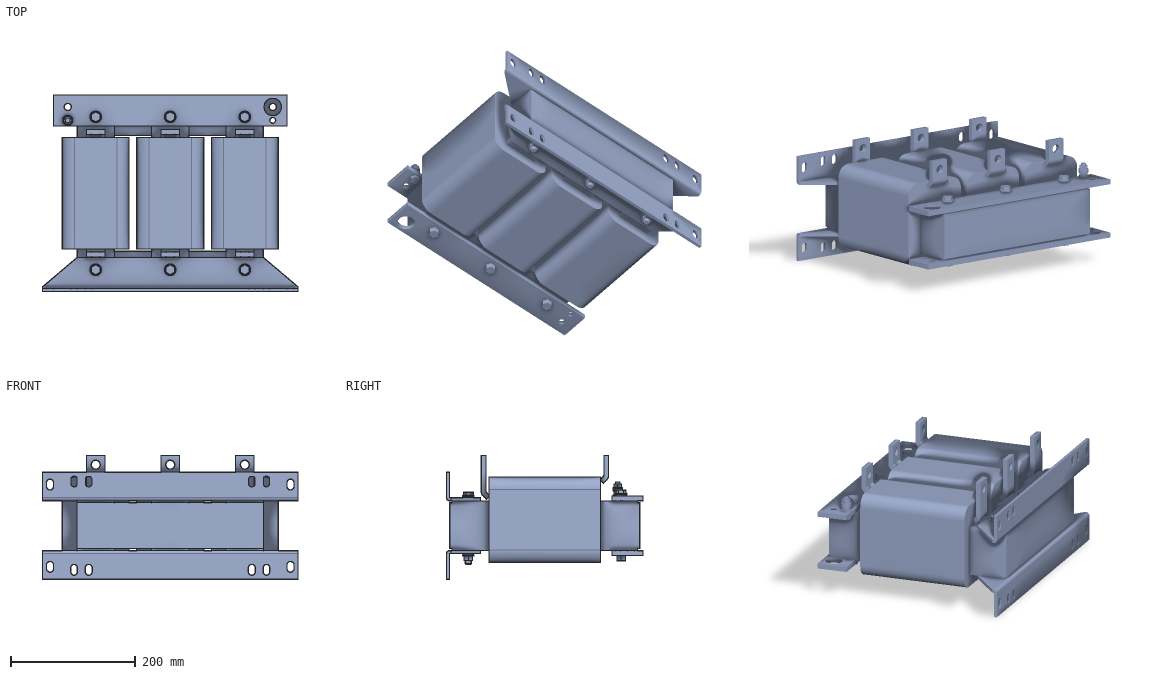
import cadquery as cq
import math


overall_depth = 316.5

phase_pitch = 120.0
phase_positions = [-phase_pitch, 0.0, phase_pitch]
leg_width = 60.0
core_length = 2 * phase_pitch + leg_width
core_depth = 306.0
core_height = 74.0
yoke_width = 60.0
window_depth = core_depth - 2 * yoke_width
window_width = phase_pitch - leg_width

strip_depth = 299.0
clamped_height = 80.0
clamp_z = clamped_height / 2

coil_width = 108.0
coil_depth = 180.0
coil_top = 78.5
coil_bottom = -59.5
coil_corner_radius = 20.0

tag_width = 30.0
tag_thickness = 8.0
tag_top = 113.25
tag_hole_diameter = 14.0
tag_hole_below_top = 15.0
tag_bend_radius = 10.0
tag_bend_angle = math.radians(45)
tag_slope_drop = 5.7
rear_tag_outer_face = 103.0
rear_tag_bend_z = 81.0
front_tag_outer_face = 102.5
front_tag_bend_z = 55.3

bracket_length = 412.0
bracket_thickness = 5.0
bracket_height = 46.25
bracket_front = -overall_depth / 2
flange_width = 55.0
flange_straight_depth = 7.5
slot_length = 17.0
end_slot_x = 193.5
end_slot_z = 66.2
end_slot_width = 11.0
inner_slot_z = 71.0
inner_slots = [(131.3, 11.0), (154.8, 10.0)]

plate_length = 376.0
plate_width = 50.0
plate_thickness = 8.0
plate_rear = overall_depth / 2
plate_hole_x = 165.0
lifting_hole_y = 139.0
lifting_hole_diameter = 11.0
large_hole_diameter = 28.0
earth_y = 117.5
earth_hole_diameter = 9.0
plate_top = clamp_z + plate_thickness

bolt_y = 123.0
bolt_diameter = 10.0
bolt_tip_length = 6.0
bolt_tip_chamfer = 1.0
hex_corners = 16.2
bolt_head_height = 5.6
bolt_nut_height = 7.5
lock_washer_diameter = 16.4
lock_washer_thickness = 2.2
washer_diameter = 18.6
washer_thickness = 1.4
rear_nut_height = 8.8

stud_diameter = 8.0
stud_top = 70.7
stud_head_height = 5.0
stud_head_corners = 16.0
stud_nut_corners = 14.0
stud_nut_height = 5.7
stud_washer_diameter = 16.0
stud_washer_thickness = 1.8
stud_spring_diameter = 15.6
stud_spring_thickness = 2.4


def block(x_size, y_size, z_low, z_high, x=0.0, y=0.0):
    """Box centred on (x, y) and reaching from z_low to z_high."""
    middle = (x, y, (z_low + z_high) / 2)
    return cq.Workplane("XY").box(x_size, y_size, z_high - z_low).translate(middle)


def disc(x, y, z, diameter, height):
    """Upright cylinder standing on z; a negative height hangs it below z."""
    return cq.Workplane("XY", origin=(x, y, z)).circle(diameter / 2).extrude(height)


def hexagon(x, y, z, corners, height):
    """Upright hexagonal prism standing on z; a negative height hangs it below z."""
    return cq.Workplane("XY", origin=(x, y, z)).polygon(6, corners).extrude(height)


def turned_hexagon(x, y, z, corners, height):
    """Hexagonal prism with two corners on the Y direction instead of X."""
    return hexagon(x, y, z, corners, height).rotate((x, y, 0), (x, y, 1), 30)


def make_core():
    core = block(core_length, core_depth, -core_height / 2, core_height / 2)
    for side in (-1, 1):
        window_x = side * phase_pitch / 2
        core = core.cut(block(window_width, window_depth, -core_height, core_height, window_x))
    for x in phase_positions:
        core = core.union(block(leg_width, strip_depth, -clamp_z, clamp_z, x))
    return core


def make_coil(x):
    coil = block(coil_width, coil_depth, coil_bottom, coil_top, x)
    return coil.edges("|Y").fillet(coil_corner_radius)


def make_tag(x, outer_face, bend_z, side):
    """Upright tag with a 45 degree foot running into the coil; side is +1 rear, -1 front."""
    inner_radius = tag_bend_radius - tag_thickness
    bend_centre_y = outer_face - tag_bend_radius

    def on_bend(radius, angle):
        return (bend_centre_y + radius * math.cos(angle), bend_z - radius * math.sin(angle))

    outer_mid = on_bend(tag_bend_radius, tag_bend_angle / 2)
    outer_end = on_bend(tag_bend_radius, tag_bend_angle)
    inner_mid = on_bend(inner_radius, tag_bend_angle / 2)
    inner_end = on_bend(inner_radius, tag_bend_angle)
    foot_outer = (outer_end[0] - tag_slope_drop, outer_end[1] - tag_slope_drop)
    foot_inner = (inner_end[0] - tag_slope_drop, inner_end[1] - tag_slope_drop)
    tag = (
        cq.Workplane("YZ")
        .moveTo(outer_face, tag_top)
        .lineTo(outer_face, bend_z)
        .threePointArc(outer_mid, outer_end)
        .lineTo(*foot_outer)
        .lineTo(*foot_inner)
        .lineTo(*inner_end)
        .threePointArc(inner_mid, (outer_face - tag_thickness, bend_z))
        .lineTo(outer_face - tag_thickness, tag_top)
        .close()
        .extrude(tag_width / 2, both=True)
    )
    hole = (
        cq.Workplane("XZ", origin=(0, 2 * outer_face, tag_top - tag_hole_below_top))
        .circle(tag_hole_diameter / 2)
        .extrude(2 * outer_face)
    )
    tag = tag.cut(hole)
    if side < 0:
        tag = tag.mirror("XZ")
    return tag.translate((x, 0, 0))


def make_bracket():
    """Upper front angle: a flange on the core and a leg standing up from its front edge."""
    flange_rear = bracket_front + flange_width
    flange_corner = bracket_front + flange_straight_depth
    half_rear = core_length / 2
    half_front = bracket_length / 2
    flange = (
        cq.Workplane("XY", origin=(0, 0, clamp_z))
        .polyline([
            (-half_rear, flange_rear),
            (half_rear, flange_rear),
            (half_front, flange_corner),
            (half_front, bracket_front),
            (-half_front, bracket_front),
            (-half_front, flange_corner),
        ])
        .close()
        .extrude(bracket_thickness)
    )
    leg_y = bracket_front + bracket_thickness / 2
    leg = block(bracket_length, bracket_thickness, clamp_z, clamp_z + bracket_height, 0, leg_y)
    bracket = flange.union(leg).edges("|X and <Y and <Z").fillet(bracket_thickness)
    for side in (-1, 1):
        bracket = bracket.cut(make_slot(side * end_slot_x, end_slot_z, end_slot_width))
        for slot_x, slot_width in inner_slots:
            bracket = bracket.cut(make_slot(side * slot_x, inner_slot_z, slot_width))
    return bracket


def make_slot(x, z, width):
    return (
        cq.Workplane("XZ", origin=(x, bracket_front + 2 * bracket_thickness, z))
        .slot2D(slot_length, width, 90)
        .extrude(4 * bracket_thickness)
    )


def make_clamp_plate(large_hole_side):
    """Upper rear plate with its large hole on the given side and an earth hole on the right."""
    plate_y = plate_rear - plate_width / 2
    plate = block(plate_length, plate_width, clamp_z, plate_top, 0, plate_y)
    for side in (-1, 1):
        diameter = large_hole_diameter if side == large_hole_side else lifting_hole_diameter
        plate = plate.cut(disc(side * plate_hole_x, lifting_hole_y, clamp_z, diameter, plate_thickness))
    return plate.cut(disc(plate_hole_x, earth_y, clamp_z, earth_hole_diameter, plate_thickness))


def make_washers(x, y, seat, direction):
    """Lock washer and flat washer stacked outward from the seat."""
    lock = disc(x, y, seat, lock_washer_diameter, direction * lock_washer_thickness)
    flat_seat = seat + direction * lock_washer_thickness
    return lock.union(disc(x, y, flat_seat, washer_diameter, direction * washer_thickness))


def make_front_bolt(x):
    seat = clamp_z + bracket_thickness
    hex_seat = seat + lock_washer_thickness + washer_thickness
    tip = hex_seat + bolt_nut_height + bolt_tip_length
    shank = disc(x, -bolt_y, -tip, bolt_diameter, tip + hex_seat)
    bolt = shank.faces("<Z").chamfer(bolt_tip_chamfer)
    bolt = bolt.union(make_washers(x, -bolt_y, seat, 1))
    bolt = bolt.union(make_washers(x, -bolt_y, -seat, -1))
    bolt = bolt.union(turned_hexagon(x, -bolt_y, hex_seat, hex_corners, bolt_head_height))
    return bolt.union(hexagon(x, -bolt_y, -hex_seat, hex_corners, -bolt_nut_height))


def make_rear_bolt(x):
    hex_seat = plate_top + lock_washer_thickness + washer_thickness
    bolt = disc(x, bolt_y, -plate_top, bolt_diameter, plate_top + hex_seat)
    bolt = bolt.union(make_washers(x, bolt_y, plate_top, 1))
    bolt = bolt.union(turned_hexagon(x, bolt_y, hex_seat, hex_corners, bolt_head_height))
    return bolt.union(hexagon(x, bolt_y, -plate_top, hex_corners, -rear_nut_height))


def make_earth_stud():
    x = -plate_hole_x
    stud_bottom = clamp_z - stud_head_height
    stud = hexagon(x, earth_y, stud_bottom, stud_head_corners, stud_head_height)
    stud = stud.union(disc(x, earth_y, clamp_z, stud_diameter, stud_top - clamp_z))
    washer = (disc, stud_washer_diameter, stud_washer_thickness)
    spring = (disc, stud_spring_diameter, stud_spring_thickness)
    nut = (hexagon, stud_nut_corners, stud_nut_height)
    level = plate_top
    for make_shape, size, height in (washer, nut, washer, spring, washer, nut):
        stud = stud.union(make_shape(x, earth_y, level, size, height))
        level += height
    return stud


bracket = make_bracket()
upper_plate = make_clamp_plate(large_hole_side=1)
lower_plate = make_clamp_plate(large_hole_side=-1).mirror("XY")
result = make_core()
result = result.union(bracket).union(bracket.mirror("XY"))
result = result.union(upper_plate).union(lower_plate)
for phase_x in phase_positions:
    result = result.union(make_coil(phase_x))
    result = result.union(make_tag(phase_x, rear_tag_outer_face, rear_tag_bend_z, 1))
    result = result.union(make_tag(phase_x, front_tag_outer_face, front_tag_bend_z, -1))
    result = result.union(make_front_bolt(phase_x))
    result = result.union(make_rear_bolt(phase_x))
result = result.union(make_earth_stud())